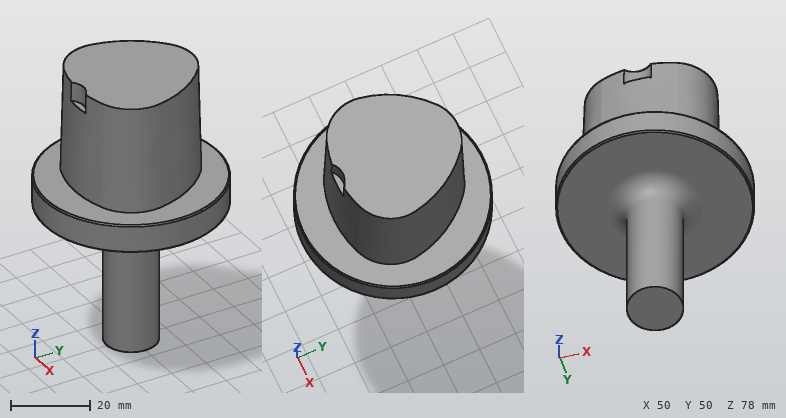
import cadquery as cq
import math

total_height = 78.0
shank_diameter = 14.3
flange_diameter = 50.0
flange_thickness = 8.0
flange_chamfer = 0.4
neck_fillet = 5.0
taper_height = 29.95
taper_angle = math.degrees(math.atan(1 / 40))

lobe_radius = 11.7
lobe_offset = 7.0
flank_distance = 16.3

notch_radius = 5.0
notch_depth = 5.4
notch_reach = 13.9

flange_top = total_height - taper_height
flange_bottom = flange_top - flange_thickness


def polar(radius, angle):
    """Point at a radius and an angle in degrees."""
    return (radius * math.cos(math.radians(angle)), radius * math.sin(math.radians(angle)))


def make_shank_and_flange():
    """Revolve the half profile; its Y coordinate is the height along the Z axis."""
    shank_radius = shank_diameter / 2
    flange_radius = flange_diameter / 2
    chamfered_radius = flange_radius - flange_chamfer
    neck_arc_middle = (
        shank_radius + neck_fillet * (1 - math.cos(math.radians(45))),
        flange_bottom - neck_fillet * (1 - math.sin(math.radians(45))),
    )
    return (
        cq.Workplane("XZ")
        .lineTo(shank_radius, 0)
        .lineTo(shank_radius, flange_bottom - neck_fillet)
        .threePointArc(neck_arc_middle, (shank_radius + neck_fillet, flange_bottom))
        .lineTo(chamfered_radius, flange_bottom)
        .lineTo(flange_radius, flange_bottom + flange_chamfer)
        .lineTo(flange_radius, flange_top - flange_chamfer)
        .lineTo(chamfered_radius, flange_top)
        .lineTo(0, flange_top)
        .close()
        .revolve(360, (0, 0), (0, 1))
    )


def make_taper():
    radius_gap = flank_distance - lobe_radius
    flank_offset = (lobe_offset**2 - radius_gap**2) / (2 * radius_gap - lobe_offset)

    lobe_across = lobe_offset * math.sin(math.radians(60))
    lobe_along = lobe_offset * math.cos(math.radians(60))
    half_span = math.degrees(math.atan2(lobe_across, flank_offset + lobe_along))

    lobe_half_span = 60 - half_span

    def lobe_point(direction, turn):
        centre_x, centre_y = polar(lobe_offset, direction)
        arm_x, arm_y = polar(lobe_radius, direction + turn)
        return (centre_x + arm_x, centre_y + arm_y)

    section = cq.Workplane("XY", origin=(0, 0, flange_top)).moveTo(*lobe_point(90, -lobe_half_span))
    for direction in (90, 210, 330):
        lobe_apex = lobe_point(direction, 0)
        lobe_end = lobe_point(direction, lobe_half_span)
        flank_middle = polar(flank_distance, direction + 60)
        next_lobe_start = lobe_point(direction + 120, -lobe_half_span)
        section = section.threePointArc(lobe_apex, lobe_end)
        section = section.threePointArc(flank_middle, next_lobe_start)
    return section.close().extrude(taper_height, taper=taper_angle)


def make_notch():
    return (
        cq.Workplane("XY", origin=(0, -notch_reach - notch_radius, total_height - notch_depth))
        .circle(notch_radius)
        .extrude(notch_depth)
    )


result = make_shank_and_flange().union(make_taper()).cut(make_notch())